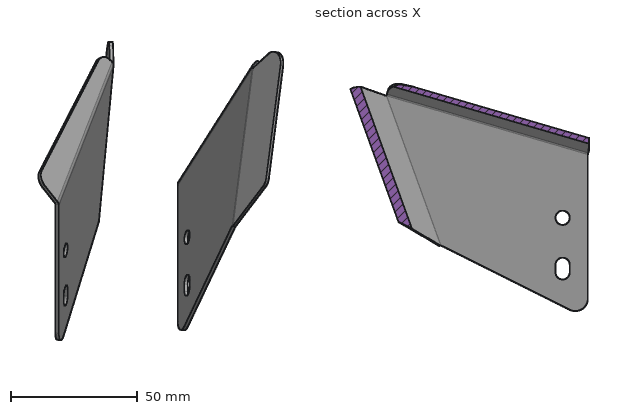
import cadquery as cq
import math

THICKNESS = 1.5
CORNER_RADIUS = 5.0

PLATE_FRONT_BOTTOM = (0.0, -3.07)
PLATE_FRONT_TOP = (0.0, 61.8)
PLATE_BACK_TOP = (79.4, 84.95)
PLATE_BACK_BOTTOM = (58.0, 25.9)

HOLE_DIAMETER = 5.5
HOLE_Y = 10.0
HOLE_Z = 36.8
SLOT_LENGTH = 8.5
HOLE_TO_SLOT = 20.0

FLANGE_ANGLE = 40.0
FLANGE_BEND_RADIUS = 1.0
FLANGE_BACK_HEIGHT = 5.45
FLANGE_FRONT_HEIGHT = 11.95
FLANGE_END_LEAN = 12.0

WING_ANGLE = 20.5
WING_BEND_RADIUS = 0.2
WING_WIDTH = 16.3
WING_TOP_LEAN = 37.5
WING_BOTTOM_LEAN = 48.5


def lean_shift(distance, angle):
    """Sideways shift of an edge that leans by angle over the given distance."""
    return distance * math.tan(math.radians(angle))


def bent_tab(start, end, angle, bend_radius, outline):
    """Bend towards -X along the line start-end, and the flat tab that continues it.

    The piece is made with the bend line on its X axis, the tab running towards +Y and
    the outer face at Z = 0, then moved onto the plate. The outline is that of the flat
    tab; its corners away from the bend line are rounded.
    """
    bend_length = math.dist(start, end)
    axis_height = THICKNESS + bend_radius
    bend = (
        cq.Workplane("XZ")
        .rect(bend_length, THICKNESS, centered=False)
        .revolve(angle, (0, axis_height), (1, axis_height))
    )
    tab = (
        cq.Workplane("XY")
        .polyline(outline)
        .close()
        .extrude(THICKNESS)
        .edges("(|Z) and (not <Y)")
        .fillet(CORNER_RADIUS)
        .rotate((0, 0, axis_height), (1, 0, axis_height), angle)
    )
    along_bend = (0, end[0] - start[0], end[1] - start[1])
    bend_frame = cq.Plane(origin=(0, *start), xDir=along_bend, normal=(-1, 0, 0))
    return bend.union(tab).val().moved(cq.Location(bend_frame))


def flat_plate():
    """Plate with its free lower front corner rounded, the hole and the slot."""
    corners = [PLATE_FRONT_BOTTOM, PLATE_FRONT_TOP, PLATE_BACK_TOP, PLATE_BACK_BOTTOM]
    plate = cq.Workplane("YZ").polyline(corners).close().extrude(-THICKNESS)
    plate = plate.edges("|X and <Z").fillet(CORNER_RADIUS)
    hole = cq.Workplane("YZ").center(HOLE_Y, HOLE_Z).circle(HOLE_DIAMETER / 2).extrude(-THICKNESS)
    slot = (
        cq.Workplane("YZ")
        .center(HOLE_Y, HOLE_Z - HOLE_TO_SLOT)
        .slot2D(SLOT_LENGTH, HOLE_DIAMETER, 90)
        .extrude(-THICKNESS)
    )
    return plate.cut(hole).cut(slot)


def flange():
    """Flange on the top edge, growing taller towards the front."""
    length = math.dist(PLATE_BACK_TOP, PLATE_FRONT_TOP)
    front_shift = lean_shift(FLANGE_FRONT_HEIGHT, FLANGE_END_LEAN)
    outline = [
        (0, 0),
        (length, 0),
        (length - front_shift, FLANGE_FRONT_HEIGHT),
        (0, FLANGE_BACK_HEIGHT),
    ]
    return bent_tab(PLATE_BACK_TOP, PLATE_FRONT_TOP, FLANGE_ANGLE, FLANGE_BEND_RADIUS, outline)


def wing():
    """Wing on the back edge, with both ends leaning upwards."""
    length = math.dist(PLATE_BACK_BOTTOM, PLATE_BACK_TOP)
    bottom_shift = lean_shift(WING_WIDTH, WING_BOTTOM_LEAN)
    top_shift = lean_shift(WING_WIDTH, WING_TOP_LEAN)
    outline = [
        (0, 0),
        (length, 0),
        (length + top_shift, WING_WIDTH),
        (bottom_shift, WING_WIDTH),
    ]
    return bent_tab(PLATE_BACK_BOTTOM, PLATE_BACK_TOP, WING_ANGLE, WING_BEND_RADIUS, outline)


result = flat_plate().union(flange()).union(wing())